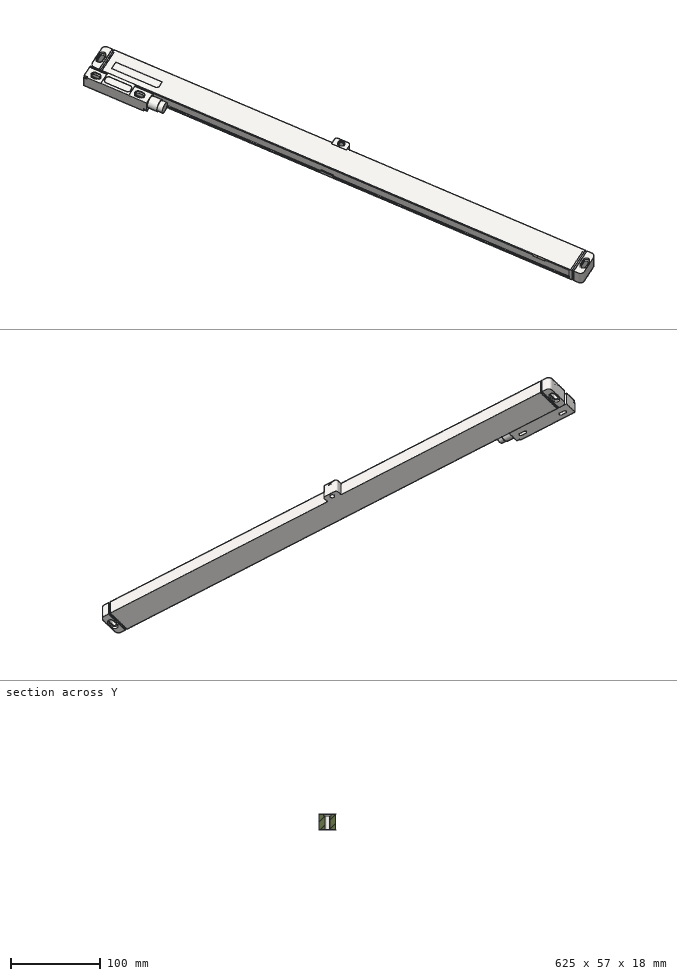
import cadquery as cq

total_length = 625.0
height = 18.0
mid_height = height / 2

rail_front = 16.5
rail_width = 32.0
rail_back = rail_front + rail_width
rail_middle = rail_front + rail_width / 2
cap_length = 11.0
cap_corner_radius = 5.0
joint_width = 2.0
joint_depth = 0.8

step_width = 1.8
step_depth = 0.3
step_back_margin = 3.5

channel_start = 16.5
channel_end = total_length - channel_start
channel_depth = 1.5
lip_height = 2.2
lip_tab_height = 4.2
lip_tab_slope = 1.5
lower_lip_tab_center = 299.8
upper_lip_tab_center = 570.0
lip_tab_length = 18.0

cap_slot_inset = 5.2
cap_slot_width = 5.0
cap_slot_length = 11.0
cap_recess_length = 15.0
cap_recess_width = 7.6
cap_recess_depth = 3.0

label_start = 23.0
label_length = 59.0
label_front = 24.0
label_width = 10.0
label_depth = 0.3
label_corner = 2.0

tab_center = 299.8
tab_width = 19.0
tab_reach = 8.5
tab_drop = 0.3
tab_root = 1.8
tab_corner_radius = 3.0
tab_hole_offset = 3.9
tab_hole_diameter = 5.0
tab_counterbore_diameter = 8.0
tab_counterbore_depth = 2.0

head_length = 80.0
head_width = 16.5
ear_drop = 0.5
ear_rebate_width = 1.7
ear_rebate_depth = 1.2
left_ear_end = 22.0
right_ear_start = 57.5
panel_margin = 1.6
panel_front = 3.5
panel_back = 12.6
panel_corner = 2.0
panel_depth = 0.5
head_slot_centers = (12.0, 67.5)
head_slot_y = 7.2
head_slot_length = 9.5
head_slot_width = 3.6
head_recess_length = 12.0
head_recess_width = 8.0
head_recess_depth = 2.0
corner_notch_length = 4.0
corner_notch_width = 1.5
corner_notch_height = 3.5

outlet_y = 9.1
collar_diameter = 14.6
collar_length = 12.0
neck_diameter = 13.0
neck_length = 6.5


def box(x0, x1, y0, y1, z0, z1):
    """Box between opposite corners."""
    return cq.Workplane("XY").box(x1 - x0, y1 - y0, z1 - z0, centered=False).translate((x0, y0, z0))


def slot(x, y, length, width, z0, z1, angle=0):
    """Vertical round-ended slot cutter."""
    return (
        cq.Workplane("XY", origin=(x, y, z0)).slot2D(length, width, angle).extrude(z1 - z0)
    )


def mirrored_in_height(shape):
    return shape.union(shape.mirror("XY", (0, 0, mid_height)))


def rail_blank():
    blank = box(0, total_length, rail_front, rail_back, 0, height)
    return blank.edges("|Z").fillet(cap_corner_radius)


def cap_slot_cutter(end_x, inward):
    """Through slot, recessed on both faces."""
    x = end_x + inward * cap_slot_inset
    through = slot(x, rail_middle, cap_slot_length, cap_slot_width, 0, height, 90)
    recess_floor = height - cap_recess_depth
    recess = slot(x, rail_middle, cap_recess_length, cap_recess_width, recess_floor, height, 90)
    return through.union(mirrored_in_height(recess))


def joint_cutter(x0):
    """Shallow groove around the rail where a cap meets the extrusion."""
    x1 = x0 + joint_width
    ring = box(x0, x1, rail_front, rail_back, 0, height)
    core = box(
        x0, x1, rail_front + joint_depth, rail_back - joint_depth, joint_depth, height - joint_depth
    )
    return ring.cut(core)


def lip_tab(center, edge_z, direction):
    """Trapezoid tab that widens a channel lip, narrowing toward the channel middle."""
    half = lip_tab_length / 2
    tip_z = edge_z + direction * lip_tab_height
    outline = [
        (center - half, edge_z),
        (center + half, edge_z),
        (center + half - lip_tab_slope, tip_z),
        (center - half + lip_tab_slope, tip_z),
    ]
    return (
        cq.Workplane("XZ", origin=(0, rail_front, 0)).polyline(outline).close().extrude(-channel_depth)
    )


def label_cutter():
    label = box(
        label_start, label_start + label_length,
        label_front, label_front + label_width,
        height - label_depth, height,
    )
    return label.edges("|Z and >X and <Y").chamfer(label_corner)


def mounting_tab():
    tab = box(
        tab_center - tab_width / 2, tab_center + tab_width / 2,
        rail_back - tab_root, rail_back + tab_reach, 0, height - tab_drop,
    ).edges("|Z and >Y").fillet(tab_corner_radius)
    return (
        tab.faces(">Z").workplane(origin=(tab_center, rail_back + tab_hole_offset, height - tab_drop))
        .cboreHole(tab_hole_diameter, tab_counterbore_diameter, tab_counterbore_depth)
    )


def make_scale():
    scale = rail_blank()
    scale = scale.cut(cap_slot_cutter(0, 1)).cut(cap_slot_cutter(total_length, -1))
    for joint_start in (cap_length, total_length - cap_length - joint_width):
        scale = scale.cut(joint_cutter(joint_start))
    step_start = cap_length + joint_width
    for x0 in (step_start, total_length - step_start - step_width):
        scale = scale.cut(box(
            x0, x0 + step_width, rail_front, rail_back - step_back_margin, height - step_depth, height
        ))
    scale = scale.cut(box(
        channel_start, channel_end,
        rail_front, rail_front + channel_depth,
        lip_height, height - lip_height,
    ))
    scale = scale.union(lip_tab(lower_lip_tab_center, 0, 1))
    scale = scale.union(lip_tab(upper_lip_tab_center, height, -1))
    scale = scale.cut(label_cutter())

    scale = scale.cut(box(
        tab_center - tab_width / 2, tab_center + tab_width / 2,
        rail_back - tab_root, rail_back, height - tab_drop, height,
    ))
    return scale.union(mounting_tab())


def cable_outlet():
    """Stepped round collar on the +X end of the head."""
    return (
        cq.Workplane("YZ", origin=(head_length, outlet_y, mid_height))
        .circle(collar_diameter / 2).extrude(collar_length)
        .faces(">X").workplane().circle(neck_diameter / 2).extrude(neck_length)
    )


def make_head():
    head = box(0, head_length, 0, head_width, 0, height)

    for x0, x1 in ((0, left_ear_end), (right_ear_start, head_length)):
        head = head.cut(box(x0, x1, 0, head_width, height - ear_drop, height))
        head = head.cut(box(
            x0, x1, head_width - ear_rebate_width, head_width, height - ear_rebate_depth, height
        ))

    panel = box(
        left_ear_end + panel_margin, right_ear_start - panel_margin,
        panel_front, panel_back, height - panel_depth, height,
    )
    head = head.cut(panel.edges("|Z").chamfer(panel_corner))

    for x in head_slot_centers:
        head = head.cut(slot(x, head_slot_y, head_slot_length, head_slot_width, 0, height))
        head = head.cut(slot(
            x, head_slot_y, head_recess_length, head_recess_width, height - head_recess_depth, height
        ))

    head = head.cut(box(
        0, corner_notch_length, 0, corner_notch_width, height - corner_notch_height, height
    ))
    head = head.cut(box(
        head_length - corner_notch_length, head_length, 0, corner_notch_width, 0, corner_notch_height
    ))
    return head.union(cable_outlet())


scale = make_scale()
head = make_head()
result = cq.Compound.makeCompound([scale.val(), head.val()])